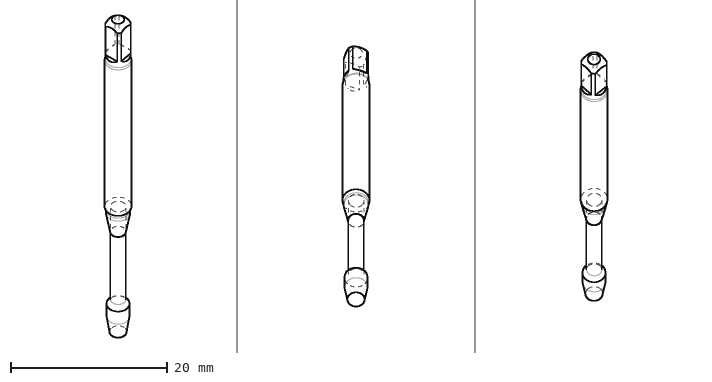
import cadquery as cq
import math

TOTAL_LENGTH = 57.05

NECK_RADIUS = 0.95

BARREL_DIA = 3.5
SHANK_DIA = 3.3
SHANK_END_DIA = 1.6
NOSE_DIA = 3.2
NOSE_END_DIA = 2.05
SHANK_CHAMFER_HEIGHT = (SHANK_DIA - SHANK_END_DIA) / 2
SHANK_BASE_Z = 50.1
BARREL_TOP_Z = 49.75
BARREL_BOTTOM_Z = 23.55
NOSE_TAPER_Z = 22.55
NOSE_END_Z = 19.05

ACROSS_FLATS = 2.7
FLATS_BOTTOM_Z = 51.1
RUNOUT_HEIGHT = (SHANK_DIA - ACROSS_FLATS) / 2

ROD_DIA = 2.0
HEAD_DIA = 2.95
POINT_DIA = 2.2
HEAD_SHOULDER_Z = 6.15
HEAD_TAPER_Z = 3.95
POINT_HEIGHT = POINT_DIA / 2
ROD_TOP_Z = BARREL_BOTTOM_Z


def revolve_outline(outline):
    """Close a (radius, z) outline and revolve it about the Z axis."""
    return outline.close().revolve(360, (0, 0, 0), (0, 1, 0))


def neck_arc_height(small_dia, large_dia):
    """Length along Z of a neck arc that is tangent to the small diameter and ends on the large one."""
    rise = (large_dia - small_dia) / 2
    return math.sqrt(NECK_RADIUS**2 - (NECK_RADIUS - rise) ** 2)


def flat_cutter():
    """Material removed for the flat on the +X side, with a 45 degree run-out at its foot."""
    flat_x = ACROSS_FLATS / 2
    shank_x = SHANK_DIA / 2
    return (
        cq.Workplane("XZ")
        .polyline([
            (flat_x, FLATS_BOTTOM_Z),
            (shank_x, FLATS_BOTTOM_Z - RUNOUT_HEIGHT),
            (shank_x, TOTAL_LENGTH),
            (flat_x, TOTAL_LENGTH),
        ])
        .close()
        .extrude(SHANK_DIA / 2, both=True)
    )


def make_barrel():
    nose_top_z = BARREL_BOTTOM_Z - neck_arc_height(NOSE_DIA, BARREL_DIA)
    outline = (
        cq.Workplane("XZ")
        .moveTo(0, NOSE_END_Z)
        .lineTo(NOSE_END_DIA / 2, NOSE_END_Z)
        .lineTo(NOSE_DIA / 2, NOSE_TAPER_Z)
        .lineTo(NOSE_DIA / 2, nose_top_z)
        .radiusArc((BARREL_DIA / 2, BARREL_BOTTOM_Z), NECK_RADIUS)
        .lineTo(BARREL_DIA / 2, BARREL_TOP_Z)
        .lineTo(SHANK_DIA / 2, SHANK_BASE_Z)
        .lineTo(SHANK_DIA / 2, TOTAL_LENGTH - SHANK_CHAMFER_HEIGHT)
        .lineTo(SHANK_END_DIA / 2, TOTAL_LENGTH)
        .lineTo(0, TOTAL_LENGTH)
    )
    body = revolve_outline(outline)
    for side in range(4):
        body = body.cut(flat_cutter().rotate((0, 0, 0), (0, 0, 1), 90 * side))
    rod_hole = (
        cq.Workplane("XY", origin=(0, 0, NOSE_END_Z))
        .circle(ROD_DIA / 2)
        .extrude(ROD_TOP_Z - NOSE_END_Z)
    )
    return body.cut(rod_hole)


def make_plunger():
    neck_z = HEAD_SHOULDER_Z + neck_arc_height(ROD_DIA, HEAD_DIA)
    outline = (
        cq.Workplane("XZ")
        .moveTo(0, 0)
        .lineTo(POINT_DIA / 2, POINT_HEIGHT)
        .lineTo(HEAD_DIA / 2, HEAD_TAPER_Z)
        .lineTo(HEAD_DIA / 2, HEAD_SHOULDER_Z)
        .radiusArc((ROD_DIA / 2, neck_z), NECK_RADIUS)
        .lineTo(ROD_DIA / 2, ROD_TOP_Z)
        .lineTo(0, ROD_TOP_Z)
    )
    return revolve_outline(outline)


barrel = make_barrel()
plunger = make_plunger()

result = cq.Compound.makeCompound([barrel.val(), plunger.val()])